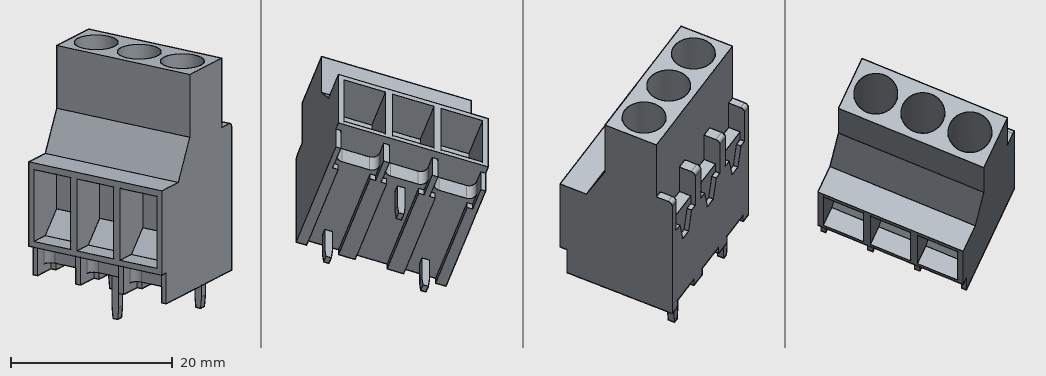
import cadquery as cq


POLE_COUNT = 3
POLE_PITCH = 6.35
WIDTH = 19.65
POLE_X = [(i - (POLE_COUNT - 1) / 2) * POLE_PITCH for i in range(POLE_COUNT)]

DEPTH = 15.85
HEIGHT = 33.5
FOOT_Z = 4.95
FOOT_FRONT_Y = 0.97
OVERHANG_Z = 9.0
NOSE_TOP_Z = 20.1
SLOPE_BOTTOM_Y = 3.72
SLOPE_TOP_Z = 25.25
TOWER_FRONT_Y = 6.33
TOWER_REAR_Y = 13.6
POST_TOP_Z = 24.4
POST_EDGE_RADIUS = 0.57

WELL_DIAMETER = 5.43
WELL_DEPTH = 13.4
WELL_Y = (TOWER_FRONT_Y + TOWER_REAR_Y) / 2

ENTRY_WIDTH = 5.43
ENTRY_BOTTOM_Z = 9.78
ENTRY_TOP_Z = 19.23
ENTRY_RAMP_START_Y = 2.58
ENTRY_RAMP_TOP_Z = 12.53
ENTRY_BACK_Y = 5.15

FLOOR_Z = 6.05
FRONT_RECESS_WIDTH = 5.63
FRONT_RECESS_BACK_Y = 3.45
FRONT_RECESS_RADIUS = 1.0
CHANNEL_WIDTH = 4.2
CHANNEL_START_Y = 4.02

REAR_RECESS_WIDTH = 4.92
SHELF_Z = 20.1
RAIL_THICKNESS = 0.65
RAIL_Z = 18.75
NOTCH_TOP_WIDTH = 3.0
NOTCH_BOTTOM_WIDTH = 1.47
NOTCH_DEPTH = 3.0

PIN_WIDTH = 1.0
PIN_THICKNESS = 0.9
PIN_TIP_WIDTH = 0.7
PIN_TAPER_LENGTH = 1.57
REAR_PIN_Y = 14.0
FRONT_PIN_Y = 5.0


def box(x_center, width, y_range, z_range):
    """Box centred on x_center that fills the given Y and Z ranges."""
    y0, y1 = y_range
    z0, z1 = z_range
    return cq.Workplane("XY").box(width, y1 - y0, z1 - z0, centered=(True, False, False)).translate(
        (x_center, y0, z0)
    )


def housing_body():
    """Side profile extruded over the full width, with the top rear edge of the posts rounded."""
    profile = [
        (FOOT_FRONT_Y, FOOT_Z),
        (FOOT_FRONT_Y, OVERHANG_Z),
        (0, OVERHANG_Z),
        (0, NOSE_TOP_Z),
        (SLOPE_BOTTOM_Y, NOSE_TOP_Z),
        (TOWER_FRONT_Y, SLOPE_TOP_Z),
        (TOWER_FRONT_Y, HEIGHT),
        (TOWER_REAR_Y, HEIGHT),
        (TOWER_REAR_Y, POST_TOP_Z),
        (DEPTH, POST_TOP_Z),
        (DEPTH, FOOT_Z),
    ]
    body = cq.Workplane("YZ").polyline(profile).close().extrude(WIDTH / 2, both=True)
    post_edge = cq.selectors.NearestToPointSelector((0, DEPTH, POST_TOP_Z))
    return body.edges(post_edge).fillet(POST_EDGE_RADIUS)


def screw_well(x):
    """Blind round well sunk from the tower top."""
    bottom = HEIGHT - WELL_DEPTH
    return cq.Workplane("XY", origin=(x, WELL_Y, bottom)).circle(WELL_DIAMETER / 2).extrude(WELL_DEPTH)


def wire_entry(x):
    """Rectangular entry whose floor ramps up to a vertical back wall."""
    profile = [
        (0, ENTRY_BOTTOM_Z),
        (ENTRY_RAMP_START_Y, ENTRY_BOTTOM_Z),
        (ENTRY_BACK_Y, ENTRY_RAMP_TOP_Z),
        (ENTRY_BACK_Y, ENTRY_TOP_Z),
        (0, ENTRY_TOP_Z),
    ]
    outline = cq.Workplane("YZ", origin=(x, 0, 0)).polyline(profile).close()
    return outline.extrude(ENTRY_WIDTH / 2, both=True)


def underside_recess(x):
    """Room between two feet: a round-cornered front recess, the floor and the channel to the rear."""
    front = box(x, FRONT_RECESS_WIDTH, (FOOT_FRONT_Y, FRONT_RECESS_BACK_Y), (FOOT_Z, OVERHANG_Z))
    front = front.edges("|Z and >Y").fillet(FRONT_RECESS_RADIUS)
    below_floor = (FOOT_Z, FLOOR_Z)
    wide = box(x, FRONT_RECESS_WIDTH, (FOOT_FRONT_Y, CHANNEL_START_Y), below_floor)
    channel = box(x, CHANNEL_WIDTH, (CHANNEL_START_Y, DEPTH), below_floor)
    return front.union(wide).union(channel)


def rear_recess(x):
    """Recess between two posts, stepped down to the notched rail along the rear face."""
    rail_front_y = DEPTH - RAIL_THICKNESS
    shelf = box(x, REAR_RECESS_WIDTH, (TOWER_REAR_Y, DEPTH), (SHELF_Z, POST_TOP_Z))
    rail = box(x, REAR_RECESS_WIDTH, (rail_front_y, DEPTH), (RAIL_Z, SHELF_Z))
    notch_profile = [
        (x - NOTCH_TOP_WIDTH / 2, RAIL_Z),
        (x - NOTCH_BOTTOM_WIDTH / 2, RAIL_Z - NOTCH_DEPTH),
        (x + NOTCH_BOTTOM_WIDTH / 2, RAIL_Z - NOTCH_DEPTH),
        (x + NOTCH_TOP_WIDTH / 2, RAIL_Z),
    ]
    notch_plane = cq.Workplane("XZ", origin=(0, DEPTH, 0))
    notch = notch_plane.polyline(notch_profile).close().extrude(RAIL_THICKNESS)
    return shelf.union(rail).union(notch)


def make_housing():
    housing = housing_body()
    for x in POLE_X:
        for feature in (screw_well, wire_entry, underside_recess, rear_recess):
            housing = housing.cut(feature(x))
    return housing


def make_pin(x, y):
    """Flat pin hanging from the housing floor, narrowed in width towards its tip."""
    profile = [
        (x - PIN_WIDTH / 2, FLOOR_Z),
        (x - PIN_WIDTH / 2, PIN_TAPER_LENGTH),
        (x - PIN_TIP_WIDTH / 2, 0),
        (x + PIN_TIP_WIDTH / 2, 0),
        (x + PIN_WIDTH / 2, PIN_TAPER_LENGTH),
        (x + PIN_WIDTH / 2, FLOOR_Z),
    ]
    outline = cq.Workplane("XZ", origin=(0, y, 0)).polyline(profile).close()
    return outline.extrude(PIN_THICKNESS / 2, both=True)


housing = make_housing()
pins = []
for index, pole_x in enumerate(POLE_X):
    pin_y = REAR_PIN_Y if index % 2 == 0 else FRONT_PIN_Y
    pins.append(make_pin(pole_x, pin_y).val())

result = cq.Compound.makeCompound([housing.val(), *pins])